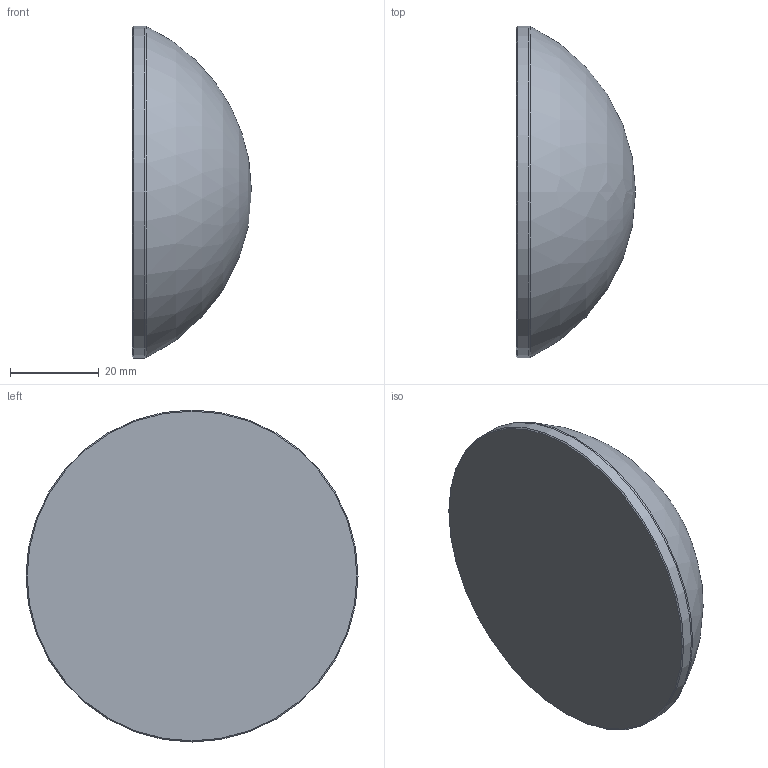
import cadquery as cq
import math

DIAMETER = 75.0
CENTER_THICKNESS = 26.9
EDGE_THICKNESS = 3.0
BEVEL = 0.25

rim_radius = DIAMETER / 2
dome_height = CENTER_THICKNESS - EDGE_THICKNESS
dome_radius = (rim_radius**2 + dome_height**2) / (2 * dome_height)
dome_center_x = CENTER_THICKNESS - dome_radius


def dome_point(angle):
    """Point (x, radius) on the dome at an angle from the optical axis."""
    return (
        dome_center_x + dome_radius * math.cos(angle),
        dome_radius * math.sin(angle),
    )


def lens_blank():
    """Half profile of the beveled lens, revolved about the optical axis."""
    rim_angle = math.asin(rim_radius / dome_radius)
    dome_edge_angle = rim_angle - BEVEL / dome_radius
    return (
        cq.Workplane("XZ")
        .moveTo(0, 0)
        .lineTo(0, rim_radius - BEVEL)
        .lineTo(BEVEL, rim_radius)
        .lineTo(EDGE_THICKNESS - BEVEL, rim_radius)
        .lineTo(*dome_point(dome_edge_angle))
        .threePointArc(dome_point(dome_edge_angle / 2), (CENTER_THICKNESS, 0))
        .close()
        .revolve(360, (0, 0, 0), (1, 0, 0))
    )


result = lens_blank()